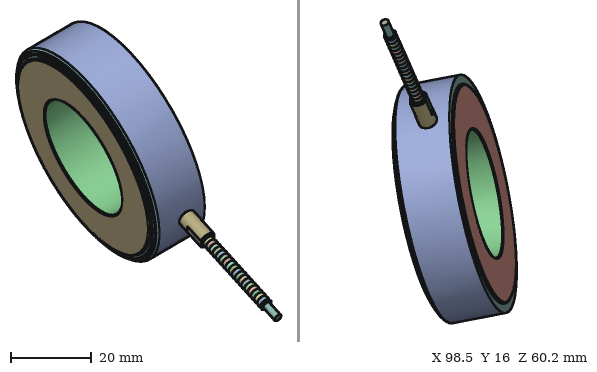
import cadquery as cq

body_dia = 60.2
bore_dia = 32.4
body_width = 16.0
front_y = -body_width / 2
back_y = body_width / 2
bore_chamfer = 0.3

boss_dia = 55.5
boss_height = 0.5
boss_chamfer = 0.4

rim_y = front_y + 1
rim_chamfer = 0.6
groove_outer_dia = 57.7
groove_depth = 0.5
disc_dia = 57.1

cable_y = 2
overall_length = 98.5
cable_end_x = overall_length - body_dia / 2
gland_dia = 4.7
gland_end_x = 39.0
gland_chamfer = 0.3
gland_flat_start_x = 33.2
gland_across_flats = 4.0

sleeve_crest_dia = 3.2
sleeve_valley_dia = 2.8
sleeve_start_x = 38.7
sleeve_end_x = 63.6
ring_count = 18.5

wire_dia = 2.1
wire_start_x = (body_dia + bore_dia) / 4


def make_body():
    """Revolve the ring's half section (radius, y) about the Y axis."""
    bore_r = bore_dia / 2
    body_r = body_dia / 2
    boss_r = boss_dia / 2
    groove_y = rim_y + groove_depth
    disc_y = front_y + boss_height
    back_rim_y = back_y - boss_height
    section = [
        (bore_r, front_y + bore_chamfer),
        (bore_r + bore_chamfer, front_y),
        (boss_r - boss_chamfer, front_y),
        (boss_r, front_y + boss_chamfer),
        (boss_r, disc_y),
        (disc_dia / 2, disc_y),
        (disc_dia / 2, groove_y),
        (groove_outer_dia / 2, groove_y),
        (groove_outer_dia / 2, rim_y),
        (body_r - rim_chamfer, rim_y),
        (body_r, rim_y + rim_chamfer),
        (body_r, back_rim_y),
        (boss_r, back_rim_y),
        (boss_r, back_y - boss_chamfer),
        (boss_r - boss_chamfer, back_y),
        (bore_r + bore_chamfer, back_y),
        (bore_r, back_y - bore_chamfer),
    ]
    return cq.Workplane("XY").polyline(section).close().revolve(360, (0, 0, 0), (0, 1, 0))


def rod(dia, start_x, end_x):
    return cq.Workplane("YZ", origin=(start_x, 0, 0)).circle(dia / 2).extrude(end_x - start_x)


def make_gland():
    gland = rod(gland_dia, wire_start_x, gland_end_x).faces(">X").chamfer(gland_chamfer)
    flat_length = gland_end_x - gland_flat_start_x
    for side in (-1, 1):
        flat_cut = cq.Workplane("XY").box(flat_length, gland_dia, gland_dia).translate(
            (gland_flat_start_x + flat_length / 2, side * (gland_across_flats + gland_dia) / 2, 0)
        )
        gland = gland.cut(flat_cut)
    return gland


def make_sleeve():
    crest_r = sleeve_crest_dia / 2
    valley_r = sleeve_valley_dia / 2
    pitch = (sleeve_end_x - sleeve_start_x) / ring_count
    outline = cq.Workplane("XY").moveTo(sleeve_start_x, 0).lineTo(sleeve_start_x, valley_r)
    for ring in range(1, int(ring_count) + 1):
        valley_x = sleeve_start_x + ring * pitch
        outline = outline.threePointArc((valley_x - pitch / 2, crest_r), (valley_x, valley_r))
    outline = outline.lineTo(sleeve_end_x, crest_r).lineTo(sleeve_end_x, 0).close()
    return outline.revolve(360, (0, 0, 0), (1, 0, 0))


wire = rod(wire_dia, wire_start_x, cable_end_x)
cable = make_gland().union(make_sleeve()).union(wire)
result = make_body().union(cable.translate((0, cable_y, 0)))